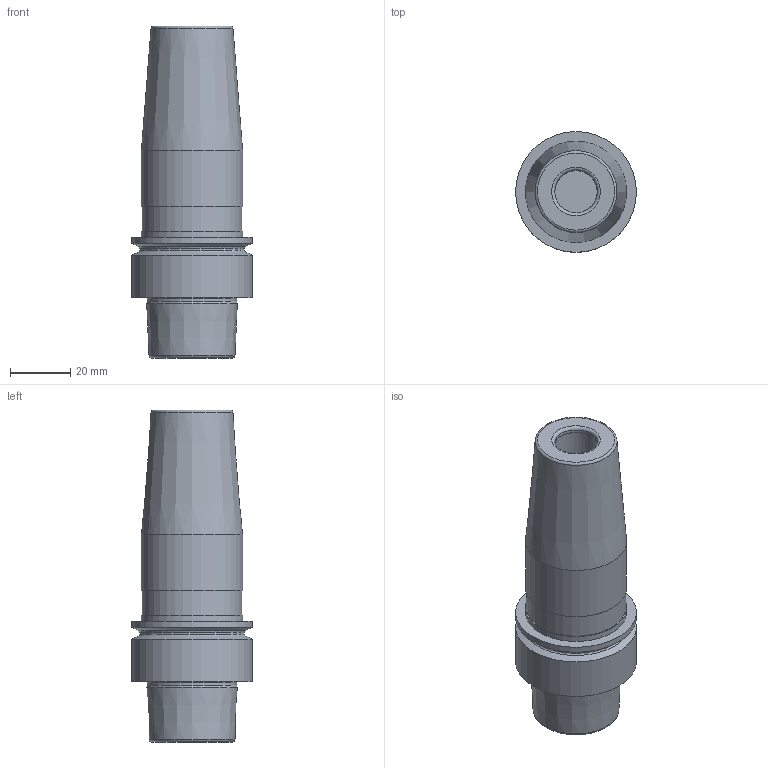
import cadquery as cq


flange_radius = 20.0
flange_height = 20.0
groove_center_z = 16.0
groove_floor_radius = 17.35
groove_floor_width = 1.56
groove_mouth_width = 3.96
groove_corner_fillet = 0.7

body_radius = 16.75
relief_radius = 16.5
nose_radius = 13.5
collar_top_z = 22.0
relief_top_z = 30.0
cone_start_z = 48.8
top_z = 89.9
nose_fillet = 0.8

bore_radius = 7.0
bore_depth = 50.0
entry_radius = 7.05
entry_depth = 2.0
bore_mouth_fillet = 1.0

shank_length = 20.0
shank_top_radius = 15.0
shank_bottom_radius = 14.2
neck_radius = 14.75
neck_root_fillet = 0.4
neck_length = 1.25
neck_shoulder_length = 0.7
shank_end_fillet = 0.8


def revolve_profile(points):
    """Revolve a closed (radius, height) outline about the Z axis."""
    return cq.Workplane("XZ").polyline(points).close().revolve(360, (0, 0), (0, 1))


def make_shank():
    taper_top_z = -neck_length - neck_shoulder_length
    return revolve_profile([
        (0, -shank_length),
        (shank_bottom_radius, -shank_length),
        (shank_top_radius, taper_top_z),
        (neck_radius, -neck_length),
        (neck_radius, 0),
        (0, 0),
    ]).faces("<Z").edges().fillet(shank_end_fillet)


def make_neck_root():
    """Concave rounding between the neck and the lower face of the flange."""
    return (
        cq.Workplane("XZ")
        .moveTo(0, -neck_root_fillet)
        .lineTo(neck_radius, -neck_root_fillet)
        .radiusArc((neck_radius + neck_root_fillet, 0), neck_root_fillet)
        .lineTo(0, 0)
        .close()
        .revolve(360, (0, 0), (0, 1))
    )


def make_flange():
    half_floor = groove_floor_width / 2
    half_mouth = groove_mouth_width / 2
    flange = revolve_profile([
        (0, 0),
        (flange_radius, 0),
        (flange_radius, groove_center_z - half_mouth),
        (groove_floor_radius, groove_center_z - half_floor),
        (groove_floor_radius, groove_center_z + half_floor),
        (flange_radius, groove_center_z + half_mouth),
        (flange_radius, flange_height),
        (0, flange_height),
    ])
    floor_edges = cq.selectors.RadiusNthSelector(0)
    return flange.edges("%CIRCLE").edges(floor_edges).fillet(groove_corner_fillet)


def make_body():
    return revolve_profile([
        (0, flange_height),
        (body_radius, flange_height),
        (body_radius, collar_top_z),
        (relief_radius, collar_top_z),
        (relief_radius, relief_top_z),
        (body_radius, relief_top_z),
        (body_radius, cone_start_z),
        (nose_radius, top_z),
        (0, top_z),
    ]).faces(">Z").edges().fillet(nose_fillet)


def make_bore():
    return revolve_profile([
        (0, top_z - bore_depth),
        (bore_radius, top_z - bore_depth),
        (bore_radius, top_z - entry_depth),
        (entry_radius, top_z - entry_depth),
        (entry_radius, top_z),
        (0, top_z),
    ])


def make_holder():
    outside = make_shank().union(make_neck_root()).union(make_flange()).union(make_body())
    bored = outside.cut(make_bore())
    mouth_edge = cq.selectors.RadiusNthSelector(0)
    return bored.faces(">Z").edges(mouth_edge).fillet(bore_mouth_fillet)


result = make_holder()